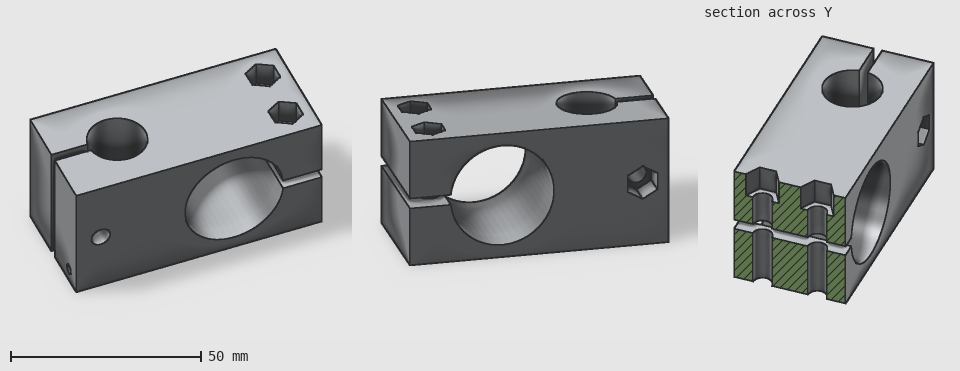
import cadquery as cq
import math

width = 31.5
length = 70.0
height = 35.0

large_bore_diameter = 28.0
large_bore_end_distance = 25.0
large_bore_y = length / 2 - large_bore_end_distance
large_slit = 2.8

small_bore_diameter = 16.0
small_bore_end_distance = 18.25
small_bore_y = -length / 2 + small_bore_end_distance
small_slit = 2.4

screw_diameter = 5.3
nut_sides = 6
nut_across_flats = 8.0
nut_across_corners = nut_across_flats / math.cos(math.pi / nut_sides)
nut_depth = 7.0
screw_end_distance = 7.0
large_clamp_screw_spacing = 15.5

pin_hole_diameter = 2.8
pin_hole_depth = 10.0
pin_hole_x = 10.75
pin_hole_base_distance = 4.0
pin_hole_z = -height / 2 + pin_hole_base_distance


def split_clamp_cutter(face_plane, bore_centre, bore_diameter, slit, end, depth):
    """Bore with a slit running from its centre out through the block end in local Y."""
    x, y = bore_centre
    bore = cq.Workplane(face_plane).center(x, y).circle(bore_diameter / 2).extrude(-depth)
    slit_cut = (
        cq.Workplane(face_plane)
        .center(x, (y + end) / 2)
        .rect(slit, abs(end - y))
        .extrude(-depth)
    )
    return bore.union(slit_cut)


def nut_and_screw_cutter(face_plane, centre, depth):
    """Screw hole through the block with a nut pocket sunk into the entry face.

    Two corners of the nut pocket lie on the local X axis.
    """
    hole = cq.Workplane(face_plane).center(*centre).circle(screw_diameter / 2).extrude(-depth)
    pocket = (
        cq.Workplane(face_plane)
        .center(*centre)
        .polygon(nut_sides, nut_across_corners)
        .extrude(-nut_depth)
    )
    return hole.union(pocket)


top_face = cq.Plane(origin=(0, 0, height / 2), xDir=(1, 0, 0), normal=(0, 0, 1))
left_face = cq.Plane(origin=(-width / 2, 0, 0), xDir=(0, 0, 1), normal=(-1, 0, 0))
front_face = cq.Plane(origin=(0, -length / 2, 0), xDir=(1, 0, 0), normal=(0, -1, 0))

result = cq.Workplane("XY").box(width, length, height)

result = result.cut(
    split_clamp_cutter(left_face, (0, large_bore_y), large_bore_diameter, large_slit, length / 2, width)
)
result = result.cut(
    split_clamp_cutter(top_face, (0, small_bore_y), small_bore_diameter, small_slit, -length / 2, height)
)

for side in (-1, 1):
    screw_centre = (side * large_clamp_screw_spacing / 2, length / 2 - screw_end_distance)
    result = result.cut(nut_and_screw_cutter(top_face, screw_centre, height))
small_clamp_screw_centre = (0, -length / 2 + screw_end_distance)
result = result.cut(nut_and_screw_cutter(left_face, small_clamp_screw_centre, width))

pin_hole = (
    cq.Workplane(front_face)
    .center(pin_hole_x, pin_hole_z)
    .circle(pin_hole_diameter / 2)
    .extrude(-pin_hole_depth)
)
result = result.cut(pin_hole)